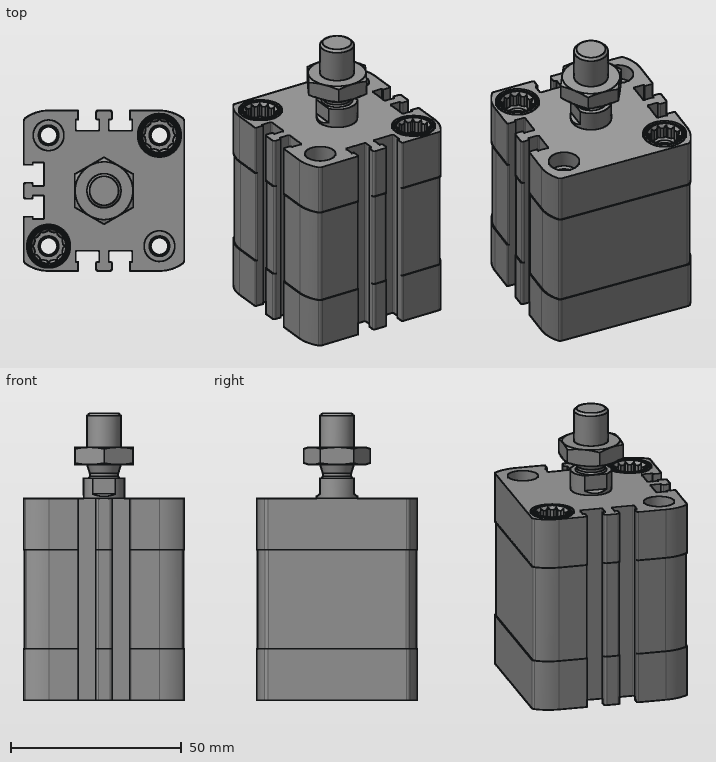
import cadquery as cq
import math

overall_height = 84.0

housing_width = 47.0
housing_height = 59.05
cap_height = 15.0
barrel_inset = 0.25
corner_radius = 11.5
corner_edge_radius = 1.3

rib_head_half_width = 2.35
rib_stem_half_width = 1.4
slot_mouth_edge = 7.6
slot_inner_edge = 8.2
slot_lip_depth = 2.7
slot_depth = 6.0
rib_edge_radius = 0.7
rib_undercut_radius = 0.4
mouth_edge_radius = 0.3
slot_floor_radius = 0.3

hole_offset = 16.2
hole_diameter = 4.95
hole_chamfer_diameter = 6.0
counterbore_diameter = 9.0
counterbore_depth = 4.95

collar_diameter = 11.9
collar_chamfer = 0.4
collar_gap_diameter = 12.8
collar_gap_depth = 0.8
socket_mouth_diameter = 10.2
socket_diameter = 8.5
socket_mouth_depth = 1.1
socket_depth = 4.5
spline_count = 12
spline_tip_diameter = 9.6

rod_diameter = 12.0
rod_shoulder_z = 65.0
thread_diameter = 10.0
thread_tip_chamfer = 0.75
undercut_diameter = 8.2
undercut_bottom_z = 65.5
undercut_top_z = 66.4
runout_diameter = 8.6
runout_bottom_z = 66.6
shoulder_cone_diameter = 9.15
wrench_flat_width = 10.0
wrench_flat_base_z = 60.4
wrench_flat_slope = 0.75

nut_width = 17.0
nut_bottom_z = 69.0
nut_height = 5.0
nut_face_diameter = 16.9
nut_chamfer_height = 0.46

half_width = housing_width / 2
barrel_height = housing_height - 2 * cap_height
rod_radius = rod_diameter / 2
thread_radius = thread_diameter / 2


def cylinder(diameter, bottom_z, height, x=0.0, y=0.0):
    """Upright cylinder."""
    return cq.Workplane("XY", origin=(x, y, bottom_z)).circle(diameter / 2).extrude(height)


def cone(bottom_diameter, top_diameter, bottom_z, height, x=0.0, y=0.0):
    """Upright truncated cone."""
    return cq.Workplane(obj=cq.Solid.makeCone(
        bottom_diameter / 2, top_diameter / 2, height, pnt=cq.Vector(x, y, bottom_z)))


def blank(inset, height):
    """Block with curved corners, set in by `inset` from the full housing width."""
    half = half_width - inset
    radius = corner_radius - inset
    arc_x = hole_offset
    edge_y = half - radius + math.sqrt(radius**2 - (half - arc_x) ** 2)
    mid_angle = (math.pi / 2 + math.asin((edge_y - half + radius) / radius)) / 2
    mid_x = arc_x + radius * math.cos(mid_angle)
    mid_y = half - radius + radius * math.sin(mid_angle)
    return (
        cq.Workplane("XY")
        .moveTo(-arc_x, half)
        .lineTo(arc_x, half)
        .threePointArc((mid_x, mid_y), (half, edge_y))
        .lineTo(half, -edge_y)
        .threePointArc((mid_x, -mid_y), (arc_x, -half))
        .lineTo(-arc_x, -half)
        .threePointArc((-mid_x, -mid_y), (-half, -edge_y))
        .lineTo(-half, edge_y)
        .threePointArc((-mid_x, mid_y), (-arc_x, half))
        .close()
        .extrude(height)
        .edges("|Z and (>X or <X)")
        .fillet(corner_edge_radius)
    )


def slot_pair(inset, height):
    """The two T-slots of the +Y face, with rounded mouth edges and floor corners."""
    face = half_width - inset
    lip = half_width - slot_lip_depth
    floor = half_width - slot_depth
    slot = (
        cq.Workplane("XY")
        .moveTo(rib_head_half_width - rib_edge_radius, face)
        .radiusArc((rib_head_half_width, face - rib_edge_radius), rib_edge_radius)
        .lineTo(rib_head_half_width, lip + rib_undercut_radius)
        .radiusArc((rib_head_half_width - rib_undercut_radius, lip), rib_undercut_radius)
        .lineTo(rib_stem_half_width, lip)
        .lineTo(rib_stem_half_width, floor + slot_floor_radius)
        .radiusArc((rib_stem_half_width + slot_floor_radius, floor), -slot_floor_radius)
        .lineTo(slot_inner_edge - slot_floor_radius, floor)
        .radiusArc((slot_inner_edge, floor + slot_floor_radius), -slot_floor_radius)
        .lineTo(slot_inner_edge, lip)
        .lineTo(slot_mouth_edge, lip)
        .lineTo(slot_mouth_edge, face - mouth_edge_radius)
        .radiusArc((slot_mouth_edge + mouth_edge_radius, face), mouth_edge_radius)
        .close()
        .extrude(height)
    )
    return slot.union(slot.mirror("YZ"))


def profile_section(inset, bottom_z, height):
    """Length of the housing with T-slots in the +Y, -X and -Y faces."""
    section = blank(inset, height)
    slots = slot_pair(inset, height)
    for angle in (0, 90, 180):
        section = section.cut(slots.rotate((0, 0, 0), (0, 0, 1), angle))
    return section.translate((0, 0, bottom_z))


def through_hole(x, y, floor_z):
    """Hole down through the housing, chamfered where it opens in a floor."""
    chamfer = (hole_chamfer_diameter - hole_diameter) / 2
    hole = cylinder(hole_diameter, 0, floor_z, x, y)
    return hole.union(cone(hole_diameter, hole_chamfer_diameter, floor_z - chamfer, chamfer, x, y))


def counterbored_hole(x, y):
    """Plain counterbore over a through hole."""
    floor_z = housing_height - counterbore_depth
    bore = cylinder(counterbore_diameter, floor_z, counterbore_depth, x, y)
    return bore.union(through_hole(x, y, floor_z))


def splined_socket(x, y):
    """Splined socket with a conical mouth, over a through hole."""
    floor_z = housing_height - socket_depth
    mouth = cone(socket_diameter, socket_mouth_diameter,
                 housing_height - socket_mouth_depth, socket_mouth_depth, x, y)
    socket = cylinder(socket_diameter, floor_z, socket_depth, x, y).union(mouth)
    tip_share = (spline_tip_diameter - socket_diameter) / (socket_mouth_diameter - socket_diameter)
    spline_height = socket_depth - socket_mouth_depth * (1 - tip_share)
    square = (
        cq.Workplane("XY", origin=(0, 0, floor_z))
        .polygon(4, spline_tip_diameter)
        .extrude(spline_height)
    )
    for index in range(spline_count // 4):
        turned = square.rotate((0, 0, 0), (0, 0, 1), index * 360 / spline_count)
        socket = socket.union(turned.translate((x, y, 0)))
    return socket.union(through_hole(x, y, floor_z))


def collar_gap(x, y):
    """Ring groove around a splined collar, with a chamfer on the collar's rim."""
    bottom_z = housing_height - collar_gap_depth
    collar = cylinder(collar_diameter, bottom_z, collar_gap_depth, x, y)
    collar = collar.faces(">Z").chamfer(collar_chamfer)
    return cylinder(collar_gap_diameter, bottom_z, collar_gap_depth, x, y).cut(collar)


def make_housing():
    housing = profile_section(0, 0, cap_height)
    housing = housing.union(profile_section(barrel_inset, cap_height, barrel_height))
    housing = housing.union(profile_section(0, housing_height - cap_height, cap_height))
    for side in (-1, 1):
        x = side * hole_offset
        housing = housing.cut(counterbored_hole(x, -x))
        housing = housing.cut(collar_gap(x, x)).cut(splined_socket(x, x))
    return housing


def wrench_flat_cut():
    """Material removed to leave the flat on the +Y side, above a sloping ledge."""
    flat_y = wrench_flat_width / 2
    return (
        cq.Workplane("YZ")
        .moveTo(flat_y, rod_shoulder_z)
        .lineTo(flat_y, wrench_flat_base_z)
        .lineTo(rod_radius, wrench_flat_base_z - wrench_flat_slope)
        .lineTo(rod_radius, rod_shoulder_z)
        .close()
        .extrude(rod_radius, both=True)
    )


def make_rod():
    """Turned rod standing on the housing, with an undercut below its threaded end."""
    undercut_radius = undercut_diameter / 2
    rod = (
        cq.Workplane("XZ")
        .moveTo(0, housing_height)
        .lineTo(rod_radius, housing_height)
        .lineTo(rod_radius, rod_shoulder_z)
        .lineTo(shoulder_cone_diameter / 2, rod_shoulder_z)
        .lineTo(undercut_radius, undercut_bottom_z)
        .lineTo(undercut_radius, undercut_top_z)
        .lineTo(runout_diameter / 2, runout_bottom_z)
        .lineTo(thread_radius, nut_bottom_z)
        .lineTo(thread_radius, overall_height - thread_tip_chamfer)
        .lineTo(thread_radius - thread_tip_chamfer, overall_height)
        .lineTo(0, overall_height)
        .close()
        .revolve(360, (0, 0, 0), (0, 1, 0))
    )
    flat = wrench_flat_cut()
    return rod.cut(flat).cut(flat.mirror("XZ"))


def make_nut():
    """Hexagon nut with two flats square to X and its corners chamfered at both ends."""
    corner_diameter = nut_width / math.cos(math.pi / 6)
    straight_height = nut_height - 2 * nut_chamfer_height
    chamfer_z = nut_bottom_z + nut_chamfer_height
    hexagon = (
        cq.Workplane("XY", origin=(0, 0, nut_bottom_z))
        .polygon(6, corner_diameter)
        .extrude(nut_height)
        .rotate((0, 0, 0), (0, 0, 1), 30)
    )
    envelope = (
        cone(nut_face_diameter, corner_diameter, nut_bottom_z, nut_chamfer_height)
        .union(cylinder(corner_diameter, chamfer_z, straight_height))
        .union(cone(corner_diameter, nut_face_diameter, chamfer_z + straight_height, nut_chamfer_height))
    )
    return hexagon.intersect(envelope).cut(cylinder(thread_diameter, nut_bottom_z, nut_height))


housing = make_housing()
rod = make_rod()
nut = make_nut()

result = cq.Compound.makeCompound([housing.solids().val(), rod.solids().val(), nut.solids().val()])